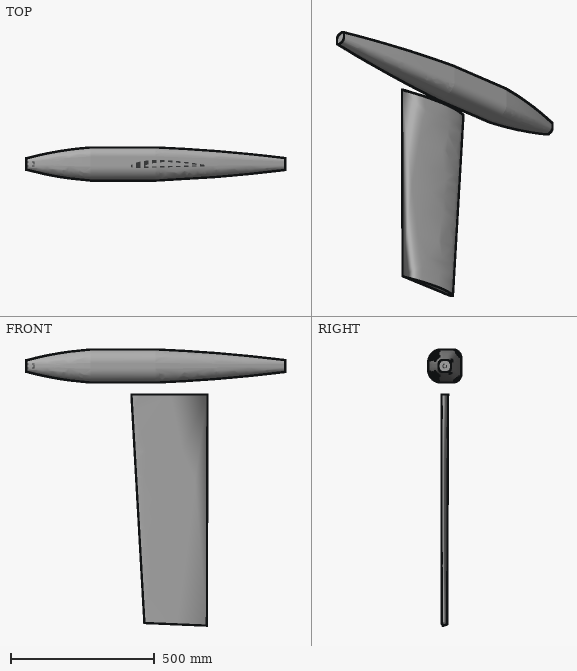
import cadquery as cq
import math


FUSELAGE_LENGTH = 900.0
STATIONS = [
    (0, 40.0, 15.0, 13.0),
    (1 / 8, 89.0, 37.0, 27.0),
    (1 / 4, 116.0, 48, 33.0),
    (1 / 2, 116.0, 48, 33.0),
    (3 / 4, 88.0, 37.0, 27.0),
    (1, 42.0, 15.0, 14.0),
]
NOSE_END = 2
TAIL_START = 3
NOSE_HOLE_DIAMETER = 13.0
NOSE_HOLE_DEPTH = 27.0

ROOT_LEADING_X = 365
ROOT_CHORD = 265.0
ROOT_Z = -99.0
TIP_LEADING_X = 410.0
TIP_CHORD = 218.0
TIP_LEADING_Z = -893
TIP_TILT = 2.4
CHORD_LINE_Y = -7.0

THICKNESS = 0.085
CAMBER = 0.03
CAMBER_POSITION = 0.4
POINTS_PER_SIDE = 16


def section_wire(x, size, radius_front, radius_back):
    """Square in a YZ plane with one corner radius at -Y and another at +Y."""
    section = cq.Workplane("YZ", origin=(x, 0, 0)).rect(size, size).extrude(10)
    section = section.edges("|X and <Y").fillet(radius_front)
    section = section.edges("|X and >Y").fillet(radius_back)
    return section.faces("<X").val().outerWire()


def make_fuselage():
    wires = [
        section_wire(fraction * FUSELAGE_LENGTH, size, radius_front, radius_back)
        for fraction, size, radius_front, radius_back in STATIONS
    ]
    body = cq.Workplane(cq.Solid.makeLoft(wires[: NOSE_END + 1]))
    body = body.union(cq.Workplane(cq.Solid.makeLoft(wires[NOSE_END : TAIL_START + 1], True)))
    body = body.union(cq.Workplane(cq.Solid.makeLoft(wires[TAIL_START:])))
    nose_hole = cq.Workplane("YZ").circle(NOSE_HOLE_DIAMETER / 2).extrude(NOSE_HOLE_DEPTH)
    return body.cut(nose_hole)


def camber_height(s):
    """Height of the mean line at chord fraction s."""
    p = CAMBER_POSITION
    if s < p:
        return CAMBER / p**2 * (2 * p * s - s**2)
    return CAMBER / (1 - p) ** 2 * (1 - 2 * p + 2 * p * s - s**2)


def half_thickness(s):
    """NACA four-digit thickness law, closed at the trailing edge."""
    return 5 * THICKNESS * (
        0.2969 * math.sqrt(s) - 0.126 * s - 0.3516 * s**2 + 0.2843 * s**3 - 0.1036 * s**4
    )


def airfoil_wire(leading_x, leading_z, chord, tilt):
    """Airfoil cambered towards +Y, tilted about its leading edge."""
    tilt = math.radians(tilt)

    def surface_point(s, side):
        return cq.Vector(
            leading_x + s * chord * math.cos(tilt),
            CHORD_LINE_Y + chord * (camber_height(s) + side * half_thickness(s)),
            leading_z - s * chord * math.sin(tilt),
        )

    steps = [(1 - math.cos(math.pi * i / POINTS_PER_SIDE)) / 2 for i in range(POINTS_PER_SIDE + 1)]
    back = [surface_point(s, 1) for s in reversed(steps)]
    front = [surface_point(s, -1) for s in steps[1:-1]]
    outline = cq.Edge.makeSpline(back + front + [back[0]])
    return cq.Wire.assembleEdges([outline])


def make_fin():
    root = airfoil_wire(ROOT_LEADING_X, ROOT_Z, ROOT_CHORD, 0)
    tip = airfoil_wire(TIP_LEADING_X, TIP_LEADING_Z, TIP_CHORD, TIP_TILT)
    return cq.Workplane(cq.Solid.makeLoft([root, tip], True))


fuselage = make_fuselage()
fin = make_fin()
result = cq.Compound.makeCompound([fuselage.solids().val(), fin.val()])